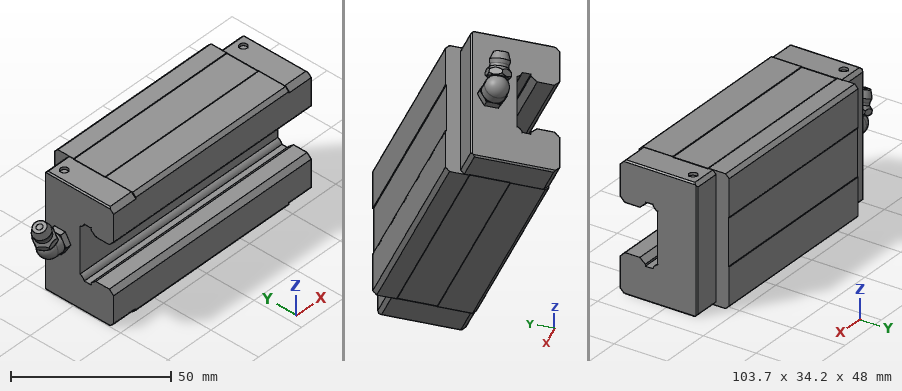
import cadquery as cq
import math


CARRIAGE_LENGTH = 91.9
END_LENGTH = 10.4
WIDTH = 48.0
HEIGHT = 34.2
END_HEIGHT = 29.2
EDGE_CHAMFER = 1.3
RELIEF_DEPTH = 0.3
MOUNT_RELIEF_WIDTH = 17.4
SIDE_RELIEF_START = 12.8
SIDE_RELIEF_END = 26.2
END_DROP = 0.1
END_FRONT_CHAMFER = 1.9
END_BACK_CHAMFER = 1.2
RIM_CHAMFER = 0.5

SLOT_DEPTH = 14.1
FLOOR_HALF = 9.5
GROOVE_HALF = 11.4
GROOVE_INNER_DEPTH = 12.3
GROOVE_OUTER_DEPTH = 9.5
GROOVE_STEP = 0.7
LIP_HALF = 8.9
LIP_DEPTH = 7.5
MOUTH_CHAMFER = 1.8
FLOOR_CORNER_RADIUS = 3.1

HOLE_DIAMETER = 3.0
HOLE_DEPTH = 1.0
HOLE_FROM_END = 4.4
HOLE_Y = 24.7

NIPPLE_Y = 22.6
ELBOW_DIAMETER = 8.0
ELBOW_REACH = 5.3
BASE_HEX_LENGTH = 2.3
BASE_HEX_CHAMFER = 0.3
TILT = 22.0
STEM_HEX_FLATS = 7.4
STEM_HEX_BOTTOM = 3.1
STEM_HEX_LOWER_EDGE = 3.8
STEM_HEX_UPPER_EDGE = 4.9
NECK_BOTTOM = 6.3
NECK_TOP = 7.3
HEAD_WIDEST = 8.6
HEAD_TOP = 11.2
STEM_HEX_BOTTOM_DIAMETER = 7.0
NECK_DIAMETER = 6.0
HEAD_DIAMETER = 6.7
TIP_DIAMETER = 4.9
VALVE_DIAMETER = 2.3
VALVE_HEIGHT = 0.3
VALVE_RADIUS = ((VALVE_DIAMETER / 2) ** 2 + VALVE_HEIGHT ** 2) / (2 * VALVE_HEIGHT)

END_FACE_X = CARRIAGE_LENGTH / 2
MIDDLE_LENGTH = CARRIAGE_LENGTH - 2 * END_LENGTH
HEX_CORNER_RATIO = 1 / math.cos(math.radians(30))


def block(length, height, width):
    """Box centred in X and Z that stands on Y = 0."""
    return cq.Workplane("XY").box(length, height, width, centered=(True, False, True))


def middle_block():
    return block(MIDDLE_LENGTH, HEIGHT, WIDTH).edges("|X").chamfer(EDGE_CHAMFER)


def end_core():
    """Lower full-length block whose two ends stand out of the middle block."""
    width = WIDTH - 2 * END_DROP
    section = block(CARRIAGE_LENGTH, END_HEIGHT, width).edges("|X and <Y").chamfer(END_FRONT_CHAMFER)
    section = section.edges("|X and >Y").chamfer(END_BACK_CHAMFER)
    rimmed = block(CARRIAGE_LENGTH, END_HEIGHT, width)
    rimmed = rimmed.faces("<X or >X").edges(">Y or >Z or <Z").chamfer(RIM_CHAMFER)
    return section.intersect(rimmed)


def shallow_reliefs():
    """Cutters for the relief on the mounting face and the one on each side."""
    mount = block(MIDDLE_LENGTH, RELIEF_DEPTH, MOUNT_RELIEF_WIDTH)
    cutters = mount.translate((0, HEIGHT - RELIEF_DEPTH, 0))
    side = block(MIDDLE_LENGTH, SIDE_RELIEF_END - SIDE_RELIEF_START, 2 * RELIEF_DEPTH)
    for direction in (-1, 1):
        cutters = cutters.add(side.translate((0, SIDE_RELIEF_START, direction * WIDTH / 2)))
    return cutters.combine()


def slot_cutter():
    """Slot section drawn with horizontal = Y and vertical = Z."""
    mouth_half = LIP_HALF + MOUTH_CHAMFER
    upper = [
        (0, mouth_half),
        (MOUTH_CHAMFER, LIP_HALF),
        (LIP_DEPTH, LIP_HALF),
        (GROOVE_OUTER_DEPTH, GROOVE_HALF - GROOVE_STEP),
        (GROOVE_OUTER_DEPTH, GROOVE_HALF),
        (GROOVE_INNER_DEPTH, GROOVE_HALF),
    ]
    lower = [(y, -z) for y, z in reversed(upper)]
    return (
        cq.Workplane("YZ")
        .polyline(upper)
        .radiusArc((SLOT_DEPTH, FLOOR_HALF), -FLOOR_CORNER_RADIUS)
        .lineTo(SLOT_DEPTH, -FLOOR_HALF)
        .radiusArc(lower[0], -FLOOR_CORNER_RADIUS)
        .polyline(lower)
        .close()
        .extrude(END_FACE_X, both=True)
    )


def side_holes():
    x = END_FACE_X - HOLE_FROM_END
    return (
        cq.Workplane("XY", origin=(0, 0, WIDTH / 2 - END_DROP))
        .pushPoints([(-x, HOLE_Y), (x, HOLE_Y)])
        .circle(HOLE_DIAMETER / 2)
        .extrude(-HOLE_DEPTH)
    )


def make_carriage():
    body = middle_block().union(end_core())
    for cutter in (shallow_reliefs(), slot_cutter(), side_holes()):
        body = body.cut(cutter)
    return body


def nipple_elbow():
    """Base hexagon and ball-ended shank, along X with the ball centre at the origin."""
    radius = ELBOW_DIAMETER / 2
    arc_point = radius * math.cos(math.radians(45))
    shank = (
        cq.Workplane("XY")
        .moveTo(-radius, 0)
        .threePointArc((-arc_point, arc_point), (0, radius))
        .lineTo(ELBOW_REACH, radius)
        .lineTo(ELBOW_REACH, 0)
        .close()
        .revolve(360, (0, 0), (1, 0))
    )
    corner_diameter = ELBOW_DIAMETER * HEX_CORNER_RATIO
    hex_plane = cq.Workplane("YZ", origin=(ELBOW_REACH - BASE_HEX_LENGTH, 0, 0))
    turned = hex_plane.circle(corner_diameter / 2).extrude(BASE_HEX_LENGTH)
    turned = turned.faces("<X").chamfer(BASE_HEX_CHAMFER)
    hexagon = hex_plane.polygon(6, corner_diameter).extrude(BASE_HEX_LENGTH)
    return shank.union(hexagon.intersect(turned))


def nipple_stem():
    """Upright stem: a hexagon with turned ends, a neck, a tapered head and a domed valve."""
    hex_corner = STEM_HEX_FLATS * HEX_CORNER_RATIO / 2
    stem_hex = (
        cq.Workplane("XZ")
        .polyline([
            (0, STEM_HEX_BOTTOM),
            (STEM_HEX_BOTTOM_DIAMETER / 2, STEM_HEX_BOTTOM),
            (hex_corner, STEM_HEX_LOWER_EDGE),
            (hex_corner, STEM_HEX_UPPER_EDGE),
            (NECK_DIAMETER / 2, NECK_BOTTOM),
            (0, NECK_BOTTOM),
        ])
        .close()
        .revolve(360, (0, 0), (0, 1))
        .intersect(cq.Workplane("XY").polygon(6, 2 * hex_corner).extrude(HEAD_TOP))
    )
    head = (
        cq.Workplane("XZ")
        .moveTo(0, NECK_BOTTOM)
        .lineTo(NECK_DIAMETER / 2, NECK_BOTTOM)
        .lineTo(NECK_DIAMETER / 2, NECK_TOP)
        .lineTo(HEAD_DIAMETER / 2, HEAD_WIDEST)
        .lineTo(TIP_DIAMETER / 2, HEAD_TOP)
        .lineTo(VALVE_DIAMETER / 2, HEAD_TOP)
        .radiusArc((0, HEAD_TOP + VALVE_HEIGHT), -VALVE_RADIUS)
        .close()
        .revolve(360, (0, 0), (0, 1))
    )
    return stem_hex.union(head)


def make_nipple():
    stem = nipple_stem().rotate((0, 0, 0), (0, 1, 0), -TILT)
    return nipple_elbow().union(stem).translate((-END_FACE_X - ELBOW_REACH, NIPPLE_Y, 0))


carriage = make_carriage()
nipple = make_nipple()
result = cq.Compound.makeCompound([carriage.val(), nipple.val()])